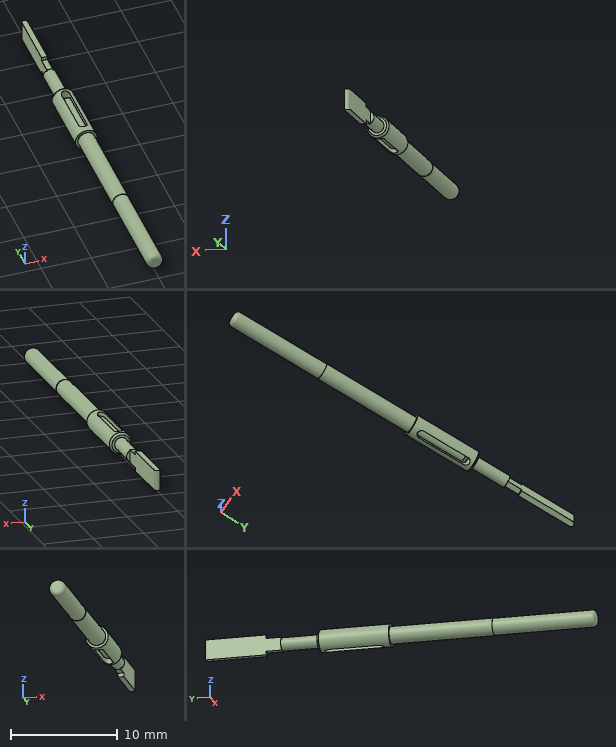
import cadquery as cq


TIP_ROD_END = 10.0
SLEEVE_START = 20.0
SLEEVE_END = 27.0
STEM_END = 30.6
BLADE_START = 32.1
TOTAL_LENGTH = 38.1

TIP_ROD_DIAMETER = 1.65
BODY_DIAMETER = 1.7
SLEEVE_DIAMETER = 2.2
STEM_DIAMETER = 1.3

TIP_ROUNDING = 0.4
SLEEVE_CHAMFER = 0.2

BLADE_THICKNESS = 0.6
BLADE_HEIGHT = 2.0

SLOT_START = 20.7
SLOT_END = 26.45
SLOT_WIDTH = 0.8
CORE_DIAMETER = 1.4
CORE_END = 26.25
CORE_ROUNDING = 0.4


def rod(diameter, start, end):
    """Cylinder on the Y axis between two stations."""
    return cq.Workplane("XZ", origin=(0, start, 0)).circle(diameter / 2).extrude(start - end)


def flat_bar(height, start, end):
    """Bar of blade thickness, centred on the Y axis between two stations."""
    length = end - start
    middle = start + length / 2
    return cq.Workplane("XY", origin=(0, middle, 0)).box(BLADE_THICKNESS, length, height)


def make_shaft():
    """Rounded tip rod, the body behind it and the stem that carries the blade."""
    tip_rod = rod(TIP_ROD_DIAMETER, 0, TIP_ROD_END).faces("<Y").edges().fillet(TIP_ROUNDING)
    body = rod(BODY_DIAMETER, TIP_ROD_END, SLEEVE_START)
    stem = rod(STEM_DIAMETER, SLEEVE_END, STEM_END)
    return tip_rod.union(body).union(stem)


def make_sleeve():
    sleeve = rod(SLEEVE_DIAMETER, SLEEVE_START, SLEEVE_END)
    return sleeve.faces(">Y").edges().chamfer(SLEEVE_CHAMFER)


def make_slots():
    """Cutter for both sleeve slots, which leaves the core standing between them."""
    slot_middle = (SLOT_START + SLOT_END) / 2
    slots = (
        cq.Workplane("XY", origin=(0, slot_middle, 0))
        .slot2D(SLOT_END - SLOT_START, SLOT_WIDTH, 90)
        .extrude(SLEEVE_DIAMETER, both=True)
    )
    core = rod(CORE_DIAMETER, SLEEVE_START, CORE_END).faces(">Y").edges().fillet(CORE_ROUNDING)
    return slots.cut(core)


def make_blade():
    """Flat blade with a round end, on a lower neck of the same thickness."""
    end_radius = BLADE_THICKNESS / 2
    end_centre = TOTAL_LENGTH - end_radius
    neck = flat_bar(STEM_DIAMETER, STEM_END, BLADE_START)
    blade = flat_bar(BLADE_HEIGHT, BLADE_START, end_centre)
    round_end = (
        cq.Workplane("XY", origin=(0, end_centre, -BLADE_HEIGHT / 2))
        .circle(end_radius)
        .extrude(BLADE_HEIGHT)
    )
    return neck.union(blade).union(round_end)


result = make_shaft().union(make_sleeve()).union(make_blade()).cut(make_slots())